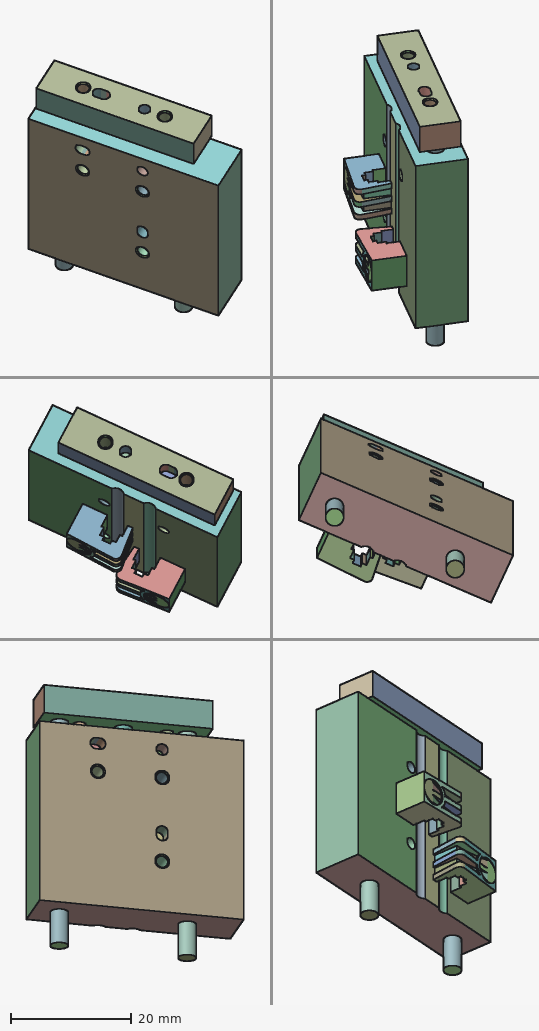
import cadquery as cq
import math

BLOCK_WIDTH = 35.0
BLOCK_DEPTH = 9.0
BLOCK_HEIGHT = 32.05
MID_Y = BLOCK_DEPTH / 2

BAR_WIDTH = 29.0
BAR_DEPTH = 7.0
BAR_HEIGHT = 5.0
BAR_GAP = 2.0
MID_X = 15.5
BAR_BOTTOM = BLOCK_HEIGHT + BAR_GAP
BAR_TOP = BAR_BOTTOM + BAR_HEIGHT

ROD_DIAMETER = 3.0
GUIDE_ROD_OFFSET = 11.0
ROD_OVERHANG = 6.0

SCREW_DIAMETER = 2.02
SCREW_COUNTERSINK = 2.48
LOCATOR_DIAMETER = 2.0
LOCATOR_DEPTH = 3.0

BLOCK_COLUMN_LEFT = 10.0
BLOCK_COLUMN_RIGHT = 21.0
UPPER_SCREW_Z = BLOCK_HEIGHT - 8.0
LOWER_SCREW_Z = BLOCK_HEIGHT - 23.0
LOCATOR_RISE = 5.0
BLOCK_SLOT_LENGTH = 2.6

BAR_SCREW_OFFSET = 7.5
BAR_LOCATOR_X = 19.25
BAR_SLOT_X = 11.3
BAR_SLOT_LENGTH = 3.0

CLIP_HEIGHT = 6.0
CLIP_OUTER_OFFSET = 9.5
CLIP_OUTER_RISE = 6.0
CLIP_PEAK_RISE = 6.5
CLIP_TIP_OVERLAP = 0.4
CLIP_TIP_RADIUS = 1.0
CLIP_LEG_GAP = 0.2
CLIP_LEG_CLEARANCE = 0.15
LEFT_CLIP_Z = 4.65
RIGHT_CLIP_Z = 12.95

CHANNEL_OFFSET = 2.95
CHANNEL_STEPS = [(3.85, 2.25), (2.95, 3.75), (1.45, 4.35)]
GROOVE_DIAMETER = 3.0
GROOVE_DEPTH = 0.5

FIN_THICKNESS = 1.0
FIN_COUNT = 3
SLOT_HEIGHT = (CLIP_HEIGHT - FIN_COUNT * FIN_THICKNESS) / (FIN_COUNT - 1)
SLOT_WALL_OFFSET = 0.5
SLOT_SHELF_RISE = 4.85
SLOT_END_RISE = 6.0
SLOT_FLOOR_SAG = 0.22
FINGER_REST_OFFSET = 7.2
FINGER_REST_DIAMETER = 4.6
FINGER_RIM_DIAMETER = 6.0


def rod(x, bottom, top):
    """Upright round rod in the middle plane of the block."""
    return cq.Workplane("XY", origin=(x, MID_Y, bottom)).circle(ROD_DIAMETER / 2).extrude(top - bottom)


def screw_hole(plane, length):
    """Round hole running from the plane's origin, with a 45 degree countersink at its mouth."""
    countersink_depth = (SCREW_COUNTERSINK - SCREW_DIAMETER) / 2
    hole = cq.Workplane(plane).circle(SCREW_DIAMETER / 2).extrude(-length)
    countersink = (
        cq.Workplane(plane).circle(SCREW_COUNTERSINK / 2).extrude(-countersink_depth, taper=45)
    )
    return hole.union(countersink)


def locator_hole(plane):
    """Blind round locating hole."""
    return cq.Workplane(plane).circle(LOCATOR_DIAMETER / 2).extrude(-LOCATOR_DEPTH)


def locator_slot(plane, length, angle=0):
    """Blind locating slot with round ends."""
    return cq.Workplane(plane).slot2D(length, LOCATOR_DIAMETER, angle).extrude(-LOCATOR_DEPTH)


def front_plane(x, z):
    """Plane on the front of the block, facing outward."""
    return cq.Plane(origin=(x, 0, z), xDir=(1, 0, 0), normal=(0, -1, 0))


def bar_top_plane(x):
    """Plane on top of the bar, facing upward."""
    return cq.Plane(origin=(x, MID_Y, BAR_TOP))


def make_guide_rod(side):
    """Guide rod from the underside of the bar, through the block and out below it."""
    return rod(MID_X + side * GUIDE_ROD_OFFSET, -ROD_OVERHANG, BAR_BOTTOM)


def make_yoke():
    """Bar with its mounting holes and the piston rod that spans the gap to the block."""
    bar = cq.Workplane("XY", origin=(MID_X, MID_Y, BAR_BOTTOM)).box(
        BAR_WIDTH, BAR_DEPTH, BAR_HEIGHT, centered=(True, True, False)
    )
    for side in (-1, 1):
        bar = bar.cut(screw_hole(bar_top_plane(MID_X + side * BAR_SCREW_OFFSET), BAR_HEIGHT))
    bar = bar.cut(locator_hole(bar_top_plane(BAR_LOCATOR_X)))
    bar = bar.cut(locator_slot(bar_top_plane(BAR_SLOT_X), BAR_SLOT_LENGTH))
    return bar.union(rod(MID_X, BLOCK_HEIGHT, BAR_BOTTOM))


def sensor_groove(side):
    """Round-bottomed groove along the full height of the block's back."""
    radius = GROOVE_DIAMETER / 2
    axis_y = BLOCK_DEPTH + radius - GROOVE_DEPTH
    return (
        cq.Workplane("XY", origin=(MID_X + side * CHANNEL_OFFSET, axis_y, 0))
        .circle(radius)
        .extrude(BLOCK_HEIGHT)
    )


def make_block(guide_rods):
    """Block with bores for the guide rods, front mounting holes and back grooves."""
    block = cq.Workplane("XY").box(BLOCK_WIDTH, BLOCK_DEPTH, BLOCK_HEIGHT, centered=False)
    for guide_rod in guide_rods:
        block = block.cut(guide_rod)

    screw_places = [
        (BLOCK_COLUMN_LEFT, UPPER_SCREW_Z),
        (BLOCK_COLUMN_RIGHT, UPPER_SCREW_Z),
        (BLOCK_COLUMN_RIGHT, LOWER_SCREW_Z),
    ]
    for x, z in screw_places:
        block = block.cut(screw_hole(front_plane(x, z), BLOCK_DEPTH))

    upper_locator_z = UPPER_SCREW_Z + LOCATOR_RISE
    lower_locator_z = LOWER_SCREW_Z + LOCATOR_RISE
    block = block.cut(locator_hole(front_plane(BLOCK_COLUMN_RIGHT, upper_locator_z)))
    block = block.cut(locator_slot(front_plane(BLOCK_COLUMN_LEFT, upper_locator_z), BLOCK_SLOT_LENGTH))
    block = block.cut(
        locator_slot(front_plane(BLOCK_COLUMN_RIGHT, lower_locator_z), BLOCK_SLOT_LENGTH, angle=90)
    )
    for side in (-1, 1):
        block = block.cut(sensor_groove(side))
    return block


def clip_plane(z):
    """Horizontal plane with its origin on the centre line at the back of the block."""
    return cq.Workplane("XY", origin=(MID_X, BLOCK_DEPTH, z))


def tangent_point(point, centre, radius, turn):
    """Point where a line from the given point touches a circle; turn (+1 or -1) picks the side."""
    dx = point[0] - centre[0]
    dy = point[1] - centre[1]
    angle = math.atan2(dy, dx) + turn * math.acos(radius / math.hypot(dx, dy))
    return (centre[0] + radius * math.cos(angle), centre[1] + radius * math.sin(angle))


def clip_outline():
    """Right clip in plan: outer face, sloping back, round inner tip and leaning inner face."""
    tip = (CLIP_TIP_RADIUS - CLIP_TIP_OVERLAP, CLIP_PEAK_RISE - CLIP_TIP_RADIUS)
    outer_corner = (CLIP_OUTER_OFFSET, CLIP_OUTER_RISE)
    leg_end = (CLIP_LEG_CLEARANCE, CLIP_LEG_GAP)
    slope_end = tangent_point(outer_corner, tip, CLIP_TIP_RADIUS, 1)
    inner_start = tangent_point(leg_end, tip, CLIP_TIP_RADIUS, -1)
    diagonal = CLIP_TIP_RADIUS / math.sqrt(2)
    tip_middle = (tip[0] - diagonal, tip[1] + diagonal)
    return (
        clip_plane(0)
        .moveTo(CLIP_OUTER_OFFSET, 0)
        .lineTo(*outer_corner)
        .lineTo(*slope_end)
        .threePointArc(tip_middle, inner_start)
        .lineTo(*leg_end)
        .lineTo(CHANNEL_OFFSET, CLIP_LEG_GAP)
        .lineTo(CHANNEL_OFFSET, 0)
        .close()
        .extrude(CLIP_HEIGHT)
    )


def clip_channel():
    """Stepped channel, open toward the block, through the height of the clip."""
    channel = cq.Workplane("XY")
    for width, rise in CHANNEL_STEPS:
        step = clip_plane(0).center(CHANNEL_OFFSET, rise / 2).rect(width, rise).extrude(CLIP_HEIGHT)
        channel = channel.union(step)
    return channel


def finger_cylinder(diameter):
    """Cylinder square to the block's back, from the level of the finger rest upward."""
    centre = (MID_X + FINGER_REST_OFFSET, BLOCK_DEPTH + CLIP_OUTER_RISE, CLIP_HEIGHT / 2)
    plane = cq.Plane(origin=centre, xDir=(1, 0, 0), normal=(0, 1, 0))
    return cq.Workplane(plane).circle(diameter / 2).extrude(CLIP_PEAK_RISE)


def fin_slot(z):
    """Slot between two fins: upright wall, then a hollow floor rising to the finger rest's rim."""
    shelf_start = (SLOT_WALL_OFFSET, SLOT_SHELF_RISE)
    floor_end = (FINGER_REST_OFFSET, SLOT_END_RISE)
    floor_middle = (
        (shelf_start[0] + floor_end[0]) / 2,
        (shelf_start[1] + floor_end[1]) / 2 - SLOT_FLOOR_SAG,
    )
    slot = (
        clip_plane(z)
        .moveTo(-CLIP_OUTER_OFFSET, 0)
        .lineTo(SLOT_WALL_OFFSET, 0)
        .lineTo(*shelf_start)
        .threePointArc(floor_middle, floor_end)
        .lineTo(FINGER_REST_OFFSET, 2 * CLIP_PEAK_RISE)
        .lineTo(-CLIP_OUTER_OFFSET, 2 * CLIP_PEAK_RISE)
        .close()
        .extrude(SLOT_HEIGHT)
    )
    return slot.cut(finger_cylinder(FINGER_RIM_DIAMETER))


def make_right_clip():
    """Clip right of the centre line, standing on the level of the block's underside."""
    clip = clip_outline().cut(clip_channel())
    for index in range(FIN_COUNT - 1):
        slot_z = FIN_THICKNESS + index * (FIN_THICKNESS + SLOT_HEIGHT)
        clip = clip.cut(fin_slot(slot_z))
    return clip.cut(finger_cylinder(FINGER_REST_DIAMETER))


def make_clip(side, z):
    """Clip on the given side of the centre line; the left one mirrors the right one."""
    clip = make_right_clip()
    if side < 0:
        clip = clip.mirror("YZ", (MID_X, 0, 0))
    return clip.translate((0, 0, z))


guide_rods = [make_guide_rod(side) for side in (-1, 1)]
yoke = make_yoke()
block = make_block(guide_rods)
clips = [make_clip(side, z) for side, z in ((-1, LEFT_CLIP_Z), (1, RIGHT_CLIP_Z))]

result = cq.Compound.makeCompound([body.val() for body in (block, yoke, *guide_rods, *clips)])